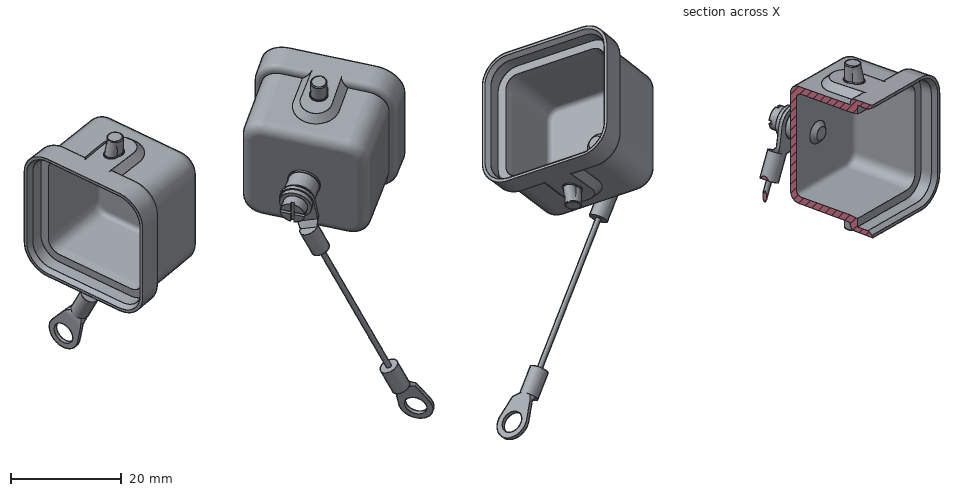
import cadquery as cq
import math


RIM_WIDTH = 27.0
RIM_DEPTH = 5.2
RIM_FILLET = 1.1
RIM_DRAFT = 1.0
BODY_WIDTH = 24.1
BODY_DEPTH = 19.0
BODY_FILLET = 2.0
BODY_DRAFT = 0.4
CORNER_CENTRE = 8.1

MOUTH_WIDTH = 25.8
MOUTH_DEPTH = 1.0
LEDGE_WIDTH = 24.6
LEDGE_DEPTH = 3.4
LEAD_IN_WIDTH = 21.2
LEAD_IN_DEPTH = 5.1
CAVITY_WIDTH = 20.8
FLOOR_FILLET = 1.0
FLOOR_DEPTH = 17.5
STUD_END_RADIUS = 2.25
STUD_END_HEIGHT = 0.9

PAD_RADIUS = 2.9
PAD_CENTRE_Y = 11.05
PAD_START_Y = 1.0
PAD_TOP = RIM_WIDTH / 2
PAD_ROOT = 11.0
PAD_FLANK_ANGLE = 46

PIN_RADIUS = 1.5
PIN_Y = 9.4
PIN_TIP = 16.75
PIN_CHAMFER = 0.2
PIN_FLARE = 0.2
PIN_FLARE_ANGLE = 45
PIN_RIB_RADIUS = 1.2
PIN_RIB_ROOT_Y = 8.2
PIN_RIB_TIP_Y = 9.15

COLLAR_RADIUS = 2.92
COLLAR_TOP = 22.8
COLLAR_CHAMFER = 0.2
COLLAR_FOOT_RADIUS = 3.05
COLLAR_FOOT_HEIGHT = 0.4
WASHER_RADIUS = 3.0
WASHER_THICKNESS = 0.9
HEAD_RADIUS = 2.3
HEAD_TOP = 26.9
SLOT_WIDTH = 0.65
SLOT_DEPTH = 0.5

TETHER_LENGTH = 53.0
TETHER_ANGLE = math.radians(24.95)
RING_RADIUS = 3.25
RING_HOLE_RADIUS = 2.1
LUG_BOTTOM = 23.15
LUG_THICKNESS = 0.75
NECK_WIDTH = 4.2
NECK_START = 4.85
BARREL_START = 5.9
BARREL_END = 11.3
BARREL_RADIUS = 1.75
CORD_RADIUS = 0.5
CORD_Y = LUG_BOTTOM + BARREL_RADIUS
TETHER_DIR = cq.Vector(-math.sin(TETHER_ANGLE), 0, -math.cos(TETHER_ANGLE))


def depth_plane(y):
    """Plane across the cap at depth y, facing +Y."""
    return cq.Workplane(cq.Plane(origin=(0, y, 0), xDir=(-1, 0, 0), normal=(0, 1, 0)))


def rounded_square(width, corner_radius):
    return cq.Sketch().rect(width, width).vertices().fillet(corner_radius)


def square_block(y, width, depth, draft=0.0):
    """Rounded square block whose corner arcs are centred on CORNER_CENTRE."""
    outline = rounded_square(width, width / 2 - CORNER_CENTRE)
    return depth_plane(y).placeSketch(outline).extrude(depth, taper=draft)


def mirrored_in_z(shape):
    return shape.union(shape.mirror("XY"))


def make_shell():
    rim = square_block(0, RIM_WIDTH, RIM_DEPTH, RIM_DRAFT).faces(">Y").edges().fillet(RIM_FILLET)
    body = square_block(0, BODY_WIDTH, BODY_DEPTH, BODY_DRAFT).faces(">Y").edges().fillet(BODY_FILLET)
    return rim.union(body)


def make_pad():
    """Arched pad with sloping flanks whose drafted top runs flush into the rim."""
    root_radius = PAD_RADIUS + (PAD_TOP - PAD_ROOT) / math.tan(math.radians(PAD_FLANK_ANGLE))
    arch = (
        cq.Workplane("XY", origin=(0, 0, PAD_ROOT))
        .moveTo(-root_radius, PAD_START_Y)
        .lineTo(-root_radius, PAD_CENTRE_Y)
        .threePointArc((0, PAD_CENTRE_Y + root_radius), (root_radius, PAD_CENTRE_Y))
        .lineTo(root_radius, PAD_START_Y)
        .close()
        .extrude(PAD_TOP - PAD_ROOT, taper=PAD_FLANK_ANGLE)
    )
    return arch.intersect(square_block(0, RIM_WIDTH, BODY_DEPTH, RIM_DRAFT))


def make_pin():
    """Round pin stiffened by a leaning rib on its -Y side."""
    pad_surface = PAD_TOP - PIN_Y * math.tan(math.radians(RIM_DRAFT))
    height = PIN_TIP - PAD_ROOT
    pin = cq.Workplane("XY", origin=(0, PIN_Y, PAD_ROOT)).circle(PIN_RADIUS).extrude(height)
    pin = pin.faces(">Z").chamfer(PIN_CHAMFER)
    rib = (
        cq.Workplane("XY", origin=(0, PIN_RIB_ROOT_Y, pad_surface))
        .circle(PIN_RIB_RADIUS)
        .workplane(offset=PIN_TIP - pad_surface)
        .center(0, PIN_RIB_TIP_Y - PIN_RIB_ROOT_Y)
        .circle(PIN_RIB_RADIUS)
        .loft(ruled=True)
    )
    pin = pin.union(rib)
    for y, radius in ((PIN_Y, PIN_RADIUS), (PIN_RIB_ROOT_Y, PIN_RIB_RADIUS)):
        root = cq.Workplane("XY", origin=(0, y, pad_surface)).circle(radius + PIN_FLARE)
        pin = pin.union(root.extrude(PIN_FLARE, taper=PIN_FLARE_ANGLE))
    return pin


def tapered_block(start_y, start_width, end_y, end_width):
    draft = math.degrees(math.atan2((start_width - end_width) / 2, end_y - start_y))
    return square_block(start_y, start_width, end_y - start_y, draft)


def make_hollow():
    """Stepped hollow: flared mouth, ledge, lead-in and a cavity with a rounded floor."""
    mouth = tapered_block(0, MOUTH_WIDTH, MOUTH_DEPTH, LEDGE_WIDTH)
    recess = square_block(0, LEDGE_WIDTH, LEDGE_DEPTH)
    lead_in = tapered_block(LEDGE_DEPTH, LEAD_IN_WIDTH, LEAD_IN_DEPTH, CAVITY_WIDTH)
    cavity = square_block(0, CAVITY_WIDTH, FLOOR_DEPTH).faces(">Y").edges().fillet(FLOOR_FILLET)
    return mouth.union(recess).union(lead_in).union(cavity)


def make_stud_end():
    """Bevelled screw end standing out of the cavity floor."""
    end = depth_plane(FLOOR_DEPTH - STUD_END_HEIGHT).circle(STUD_END_RADIUS)
    end = end.extrude(BODY_DEPTH - FLOOR_DEPTH + STUD_END_HEIGHT)
    return end.faces("<Y").chamfer(STUD_END_HEIGHT)


def make_screw():
    """Collar, shank, washer and cross-slotted head on the cap back."""
    collar = depth_plane(BODY_DEPTH).circle(COLLAR_RADIUS).extrude(COLLAR_TOP - BODY_DEPTH)
    collar = collar.faces(">Y").chamfer(COLLAR_CHAMFER)
    foot = depth_plane(BODY_DEPTH).circle(COLLAR_FOOT_RADIUS).extrude(COLLAR_FOOT_HEIGHT)
    shank = depth_plane(BODY_DEPTH).circle(RING_HOLE_RADIUS).extrude(HEAD_TOP - SLOT_DEPTH - BODY_DEPTH)
    washer_bottom = LUG_BOTTOM + LUG_THICKNESS
    washer = depth_plane(washer_bottom).circle(WASHER_RADIUS).extrude(WASHER_THICKNESS)
    head = depth_plane(washer_bottom).circle(HEAD_RADIUS).extrude(HEAD_TOP - washer_bottom)
    slot_floor = depth_plane(HEAD_TOP - SLOT_DEPTH)
    for length, width in ((2 * HEAD_RADIUS, SLOT_WIDTH), (SLOT_WIDTH, 2 * HEAD_RADIUS)):
        head = head.cut(slot_floor.rect(length, width).extrude(SLOT_DEPTH))
    return collar.union(foot).union(shank).union(washer).union(head)


def barrel_point(degrees):
    """Point on the crimp barrel outline, by angle from the across-lug axis."""
    angle = math.radians(degrees)
    return BARREL_RADIUS * math.cos(angle), BARREL_RADIUS * math.sin(angle)


def make_lug(ring_centre, direction):
    """Ring lug: flat eyelet, flared neck and round crimp barrel along direction."""
    origin = ring_centre + cq.Vector(0, LUG_BOTTOM, 0)
    flat = cq.Workplane(cq.Plane(origin=origin, xDir=direction, normal=(0, 1, 0)))

    corner_distance = math.hypot(NECK_START, NECK_WIDTH / 2)
    tangent_angle = math.atan2(NECK_WIDTH / 2, NECK_START) + math.acos(RING_RADIUS / corner_distance)
    tangent_x = RING_RADIUS * math.cos(tangent_angle)
    tangent_y = RING_RADIUS * math.sin(tangent_angle)
    eyelet = (
        flat.moveTo(NECK_START, -NECK_WIDTH / 2)
        .lineTo(NECK_START, NECK_WIDTH / 2)
        .lineTo(tangent_x, tangent_y)
        .threePointArc((-RING_RADIUS, 0), (tangent_x, -tangent_y))
        .close()
        .extrude(LUG_THICKNESS)
    )
    eyelet = eyelet.cut(flat.circle(RING_HOLE_RADIUS).extrude(LUG_THICKNESS))

    across = cq.Vector(0, 1, 0).cross(direction)
    neck_plane = cq.Plane(origin=origin + direction * NECK_START, xDir=across, normal=direction)
    barrel_centre = origin + cq.Vector(0, BARREL_RADIUS, 0) + direction * BARREL_START
    barrel_plane = cq.Plane(origin=barrel_centre, xDir=across, normal=direction)

    barrel = cq.Workplane(barrel_plane).circle(BARREL_RADIUS).extrude(BARREL_END - BARREL_START)
    plate_end = (
        cq.Workplane(neck_plane)
        .moveTo(-NECK_WIDTH / 2, LUG_THICKNESS)
        .lineTo(-NECK_WIDTH / 2, 0)
        .lineTo(NECK_WIDTH / 2, 0)
        .lineTo(NECK_WIDTH / 2, LUG_THICKNESS)
        .close()
    )
    half_barrel = (
        cq.Workplane(barrel_plane)
        .moveTo(*barrel_point(-180))
        .threePointArc(barrel_point(-157.5), barrel_point(-135))
        .threePointArc(barrel_point(-90), barrel_point(-45))
        .threePointArc(barrel_point(-22.5), barrel_point(0))
        .close()
    )
    sections = [plate_end.val(), half_barrel.val()]
    neck = cq.Workplane(cq.Solid.makeLoft(sections, ruled=True))
    return eyelet.union(neck).union(barrel)


def make_tether():
    far_ring = TETHER_DIR * TETHER_LENGTH
    near_lug = make_lug(cq.Vector(0, 0, 0), TETHER_DIR)
    far_lug = make_lug(far_ring, TETHER_DIR * -1)
    cord_start = TETHER_DIR * BARREL_START + cq.Vector(0, CORD_Y, 0)
    cord_plane = cq.Plane(origin=cord_start, xDir=(0, 1, 0), normal=TETHER_DIR)
    cord = cq.Workplane(cord_plane).circle(CORD_RADIUS).extrude(TETHER_LENGTH - 2 * BARREL_START)
    return near_lug.union(cord).union(far_lug)


cap = make_shell().union(mirrored_in_z(make_pad())).cut(make_hollow())
cap = cap.union(mirrored_in_z(make_pin())).union(make_stud_end())
assembly = cap.union(make_screw()).union(make_tether())
result = cq.Workplane(assembly.solids().val())